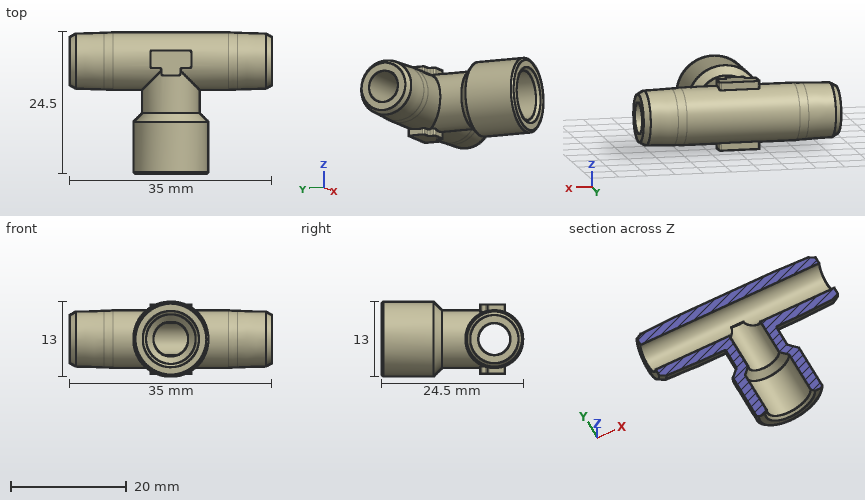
import cadquery as cq
import math

run_length = 35.0
run_diameter = 10.0
run_bore_diameter = 5.5
spigot_length = 7.5
taper_length = 5.95
taper_slope = 1 / 32
taper_large_diameter = 9.85
tip_chamfer_length = 1.1
tip_face_diameter = 8.33

branch_reach = 19.5
neck_diameter = 10.0
socket_diameter = 13.0
socket_length = 9.0
socket_edge_chamfer = 0.375

thread_bore_diameter = 8.57
thread_bore_depth = 8.5
mouth_diameter = 9.73
branch_bore_diameter = 6.0
drill_point_angle = 90.0

pad_height = 6.0
bar_width = 7.05
bar_back_y = 1.85
bar_front_y = -1.2
stem_width = 3.3
stem_front_y = -2.45
pad_corner_radius = 0.3


def revolve_about_x(profile):
    """Revolve (x, radius) points about the X axis."""
    return cq.Workplane("XY").polyline(profile).close().revolve(360, (0, 0, 0), (1, 0, 0))


def revolve_about_y(profile):
    """Revolve (radius, y) points about the Y axis."""
    return cq.Workplane("XY").polyline(profile).close().revolve(360, (0, 0, 0), (0, 1, 0))


def make_run():
    half_length = run_length / 2
    taper_large_radius = taper_large_diameter / 2
    taper_small_radius = taper_large_radius - (taper_length - tip_chamfer_length) * taper_slope
    right_half = [
        (half_length - spigot_length, run_diameter / 2),
        (half_length - taper_length, taper_large_radius),
        (half_length - tip_chamfer_length, taper_small_radius),
        (half_length, tip_face_diameter / 2),
    ]
    left_half = [(-x, radius) for x, radius in reversed(right_half)]
    return revolve_about_x([(-half_length, 0)] + left_half + right_half + [(half_length, 0)])


def make_branch():
    neck_radius = neck_diameter / 2
    socket_radius = socket_diameter / 2
    socket_back_y = socket_length - branch_reach
    shoulder_length = socket_radius - neck_radius
    return revolve_about_y([
        (0, 0),
        (neck_radius, 0),
        (neck_radius, socket_back_y + shoulder_length),
        (socket_radius, socket_back_y),
        (socket_radius, socket_edge_chamfer - branch_reach),
        (socket_radius - socket_edge_chamfer, -branch_reach),
        (0, -branch_reach),
    ])


def make_branch_bore():
    bore_radius = branch_bore_diameter / 2
    thread_radius = thread_bore_diameter / 2
    mouth_radius = mouth_diameter / 2
    mouth_depth = mouth_radius - thread_radius
    point_length = (thread_radius - bore_radius) / math.tan(math.radians(drill_point_angle / 2))
    thread_end_y = thread_bore_depth - branch_reach
    return revolve_about_y([
        (0, 0),
        (bore_radius, 0),
        (bore_radius, thread_end_y + point_length),
        (thread_radius, thread_end_y),
        (thread_radius, mouth_depth - branch_reach),
        (mouth_radius, -branch_reach),
        (0, -branch_reach),
    ])


def make_pads():
    """One T-shaped prism through the junction; its two ends are the pads."""
    half_bar = bar_width / 2
    half_stem = stem_width / 2
    outline = [
        (-half_bar, bar_back_y),
        (half_bar, bar_back_y),
        (half_bar, bar_front_y),
        (half_stem, bar_front_y),
        (half_stem, stem_front_y),
        (-half_stem, stem_front_y),
        (-half_stem, bar_front_y),
        (-half_bar, bar_front_y),
    ]
    prism = cq.Workplane("XY").polyline(outline).close().extrude(pad_height, both=True)
    return prism.edges("|Z").fillet(pad_corner_radius)


def make_run_bore():
    return cq.Workplane("YZ").circle(run_bore_diameter / 2).extrude(run_length / 2, both=True)


body = make_run().union(make_branch()).union(make_pads())
result = body.cut(make_run_bore()).cut(make_branch_bore())